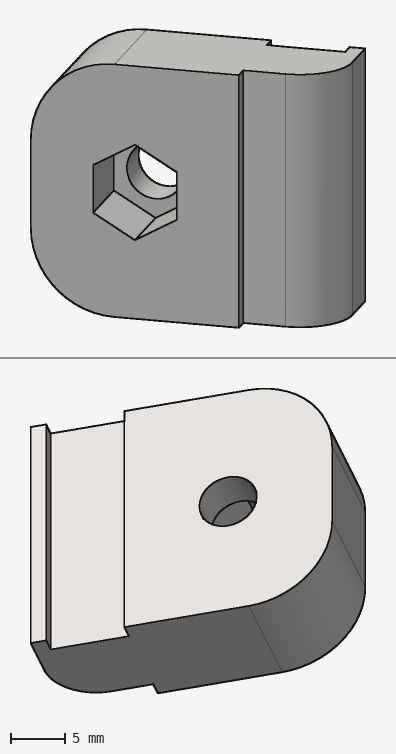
import cadquery as cq

length = 29.0
thickness = 11.0
height = 24.5

block_length = 19.98
corner_radius = 8.0
step = 1.5
tongue_radius = 5.0

hole_x = 10.0
hole_z = height / 2
hole_diameter = 5.5
nut_across_flats = 8.0
nut_depth = 7.0


def make_block():
    """Thick block with its two outer corners rounded."""
    block = cq.Workplane("XY").box(block_length, thickness, height, centered=False)
    return block.edges("|Y and <X").fillet(corner_radius)


def make_tongue():
    """Thinner tongue with a rounded front edge and a lip at the back of its tip."""
    back_face = thickness - step
    return (
        cq.Workplane("XY")
        .moveTo(hole_x, step)
        .lineTo(length - tongue_radius, step)
        .radiusArc((length, step + tongue_radius), -tongue_radius)
        .lineTo(length, thickness)
        .lineTo(length - step, thickness)
        .lineTo(length - step, back_face)
        .lineTo(hole_x, back_face)
        .close()
        .extrude(height)
    )


def make_bolt_cutter():
    """Through hole joined to a nut pocket whose points face up and down."""
    front = cq.Workplane("XZ", origin=(hole_x, 0, hole_z))
    hole = front.circle(hole_diameter / 2).extrude(-thickness)
    nut = front.polygon(6, nut_across_flats, circumscribed=True).extrude(-nut_depth)
    return hole.union(nut)


result = make_block().union(make_tongue()).cut(make_bolt_cutter())